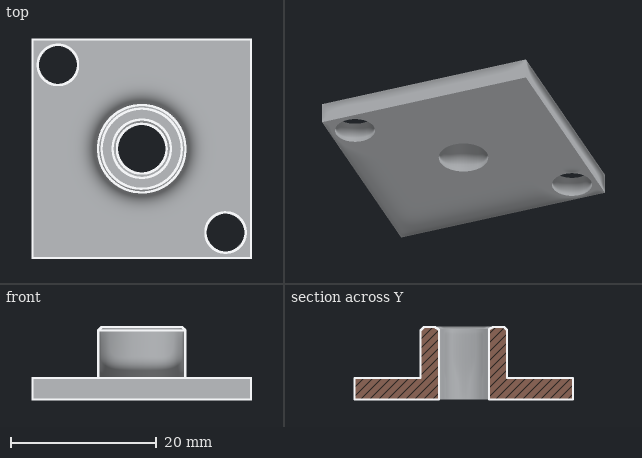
import cadquery as cq
import math

plate_side = 30.0
plate_thickness = 3.0

total_height = 10.0
boss_diameter = 12.0
boss_chamfer = 0.5

bore_diameter = 6.8
bore_mouth_diameter = 8.0
bore_mouth_cone_angle = 120.0
bore_mouth_width = (bore_mouth_diameter - bore_diameter) / 2
bore_mouth_depth = bore_mouth_width / math.tan(math.radians(bore_mouth_cone_angle / 2))

mounting_hole_diameter = 5.5
mounting_hole_offset = 11.5
mounting_hole_centres = [
    (-mounting_hole_offset, mounting_hole_offset),
    (mounting_hole_offset, -mounting_hole_offset),
]


def make_plate():
    """Square plate with the two diagonal mounting holes."""
    plate = cq.Workplane("XY").rect(plate_side, plate_side).extrude(plate_thickness)
    holes = (
        cq.Workplane("XY")
        .pushPoints(mounting_hole_centres)
        .circle(mounting_hole_diameter / 2)
        .extrude(plate_thickness)
    )
    return plate.cut(holes)


def make_boss():
    """Cylinder from the underside to full height, chamfered at its top rim."""
    boss = cq.Workplane("XY").circle(boss_diameter / 2).extrude(total_height)
    return boss.faces(">Z").chamfer(boss_chamfer)


def make_bore():
    """Cutting body for the through bore, flared at the top."""
    bore = cq.Workplane("XY").circle(bore_diameter / 2).extrude(total_height)
    mouth = cq.Workplane("XY").add(
        cq.Solid.makeCone(
            bore_diameter / 2,
            bore_mouth_diameter / 2,
            bore_mouth_depth,
            pnt=cq.Vector(0, 0, total_height - bore_mouth_depth),
        )
    )
    return bore.union(mouth)


result = make_plate().union(make_boss()).cut(make_bore())